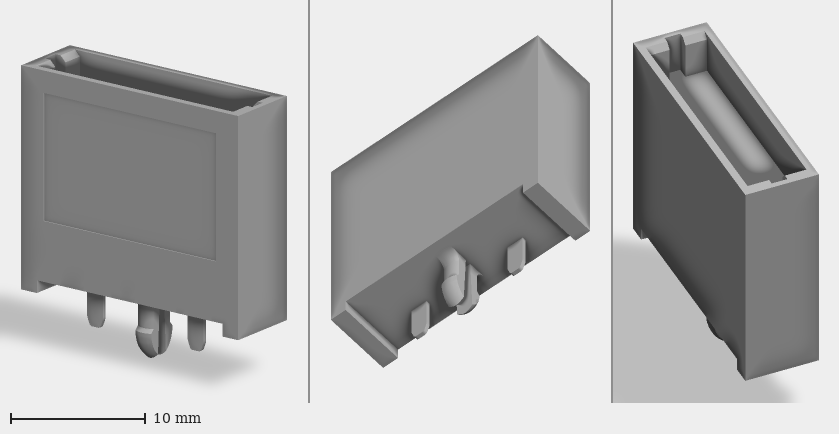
import cadquery as cq
import math

body_length = 20.15
body_width = 6.0
body_top = 16.5
foot_height = 1.0
foot_length = 1.45

cavity_depth = 3.4
cavity_length = 17.4
cavity_width = 4.8
end_chamfer = 0.46
key_slot_length = 19.24
key_slot_width = 1.28

panel_length = 16.0
panel_height = 10.0
panel_top_margin = 1.75
panel_depth = 0.1

pin_centers_x = (-4.59, 4.75)
pin_center_y = -1.02
pin_width = 1.47
pin_thickness = 0.33
pin_length = 3.33
pin_tip_width = 0.92
pin_tip_height = 0.73
pin_shoulder_radius = 0.7
pin_tip_radius = 0.25

peg_length = 5.0
peg_width = 1.47
peg_shank_radius = 1.26
peg_root_fillet = 0.82
barb_radius = 1.5
barb_start = 2.48
barb_peak = 2.79
peg_tip_radius = 0.5
peg_gap_at_root = 0.5
peg_gap_at_tip = 1.0


def barb_arc_midpoint():
    """Middle point of the barb arc, which leaves the barb peak vertically and ends at the peg tip."""
    inset = barb_radius - peg_tip_radius
    drop = peg_length - barb_peak
    arc_radius = (inset**2 + drop**2) / (2 * inset)
    half_angle = math.asin(drop / arc_radius) / 2
    return (
        barb_radius - arc_radius * (1 - math.cos(half_angle)),
        -barb_peak - arc_radius * math.sin(half_angle),
    )


def box_below(length, width, height, top):
    """Box centred on the Z axis with its upper face at the given height."""
    block = cq.Workplane("XY").box(length, width, height, centered=(True, True, False))
    return block.translate((0, 0, top - height))


def make_housing():
    block = box_below(body_length, body_width, body_top + foot_height, body_top)
    return block.cut(box_below(body_length - 2 * foot_length, body_width, foot_height, 0))


def make_cavity():
    floor = body_top - cavity_depth
    half = cavity_length / 2
    profile = [
        (-half, floor),
        (half, floor),
        (half, body_top - end_chamfer),
        (half + end_chamfer, body_top),
        (-half - end_chamfer, body_top),
        (-half, body_top - end_chamfer),
    ]
    opening = cq.Workplane("XZ").polyline(profile).close().extrude(cavity_width / 2, both=True)
    return opening.union(box_below(key_slot_length, key_slot_width, cavity_depth, body_top))


def make_panel_recess():
    recess = box_below(panel_length, panel_depth, panel_height, body_top - panel_top_margin)
    return recess.translate((0, (panel_depth - body_width) / 2, 0))


def make_pin(center_x):
    half = pin_width / 2
    tip_half = pin_tip_width / 2
    shoulder = pin_tip_height - pin_length
    outline = [
        (-half, 0),
        (half, 0),
        (half, shoulder),
        (tip_half, -pin_length),
        (-tip_half, -pin_length),
        (-half, shoulder),
    ]
    pin = cq.Workplane("XZ").polyline(outline).close().extrude(pin_thickness / 2, both=True)
    pin = pin.faces("<Z").edges("|Y").fillet(pin_tip_radius)
    shoulder_band = cq.selectors.BoxSelector(
        (-pin_width, -pin_thickness, shoulder - pin_tip_height / 4),
        (pin_width, pin_thickness, shoulder + pin_tip_height / 4),
    )
    pin = pin.edges("|Y").edges(shoulder_band).fillet(pin_shoulder_radius)
    return pin.translate((center_x, pin_center_y, 0))


def make_peg():
    fillet_reach = peg_root_fillet * (1 - math.sqrt(0.5))
    turned = (
        cq.Workplane("XZ")
        .moveTo(0, 0)
        .lineTo(peg_shank_radius + peg_root_fillet, 0)
        .threePointArc((peg_shank_radius + fillet_reach, -fillet_reach), (peg_shank_radius, -peg_root_fillet))
        .lineTo(peg_shank_radius, -barb_start)
        .lineTo(barb_radius, -barb_peak)
        .threePointArc(barb_arc_midpoint(), (peg_tip_radius, -peg_length))
        .lineTo(0, -peg_length)
        .close()
        .revolve(360, (0, 0, 0), (0, 1, 0))
    )
    flattened = turned.intersect(box_below(peg_width, body_width, peg_length, 0))
    root_half = peg_gap_at_root / 2
    tip_half = peg_gap_at_tip / 2
    gap_profile = [(-root_half, 0), (root_half, 0), (tip_half, -peg_length), (-tip_half, -peg_length)]
    gap = cq.Workplane("YZ").polyline(gap_profile).close().extrude(peg_width, both=True)
    return flattened.cut(gap)


result = make_housing().cut(make_cavity()).cut(make_panel_recess())
for pin_x in pin_centers_x:
    result = result.union(make_pin(pin_x))
result = result.union(make_peg())